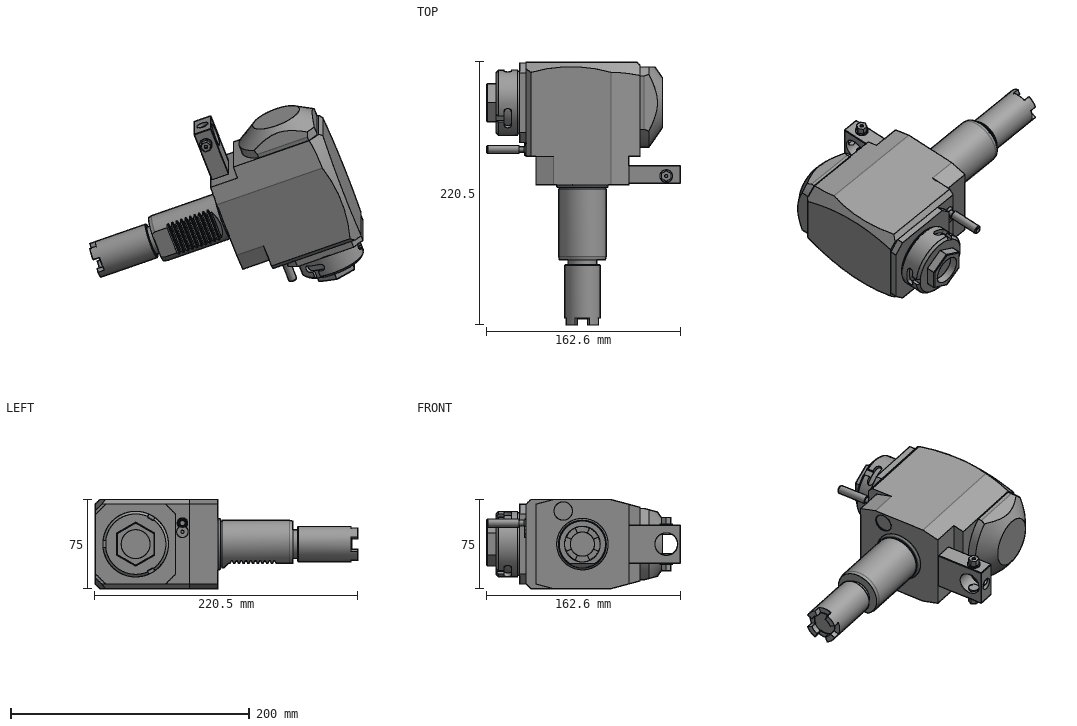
import cadquery as cq
import math


HALF_HEIGHT = 37.5
LEFT_X = -47.2
RIGHT_X = 48.5
BACK_Y = 103.0
STEP_Y = 24.0
BLOCK_HALF_WIDTH = 39.0
TAPER_START_X = 24.0
TAPER_SLOPE = math.tan(math.radians(15))
LEFT_CHAMFER = 4.0
CORNER_CHAMFER = 2.6
CROWN_X = -9.5
CROWN_Y = -22.0
CROWN_RADIUS = 121.3
PLUG_X = -16.0
PLUG_Z = 27.8
PLUG_RADIUS = 7.7
PLUG_DEPTH = 1.0

FLANGE_RADIUS = 21.6
FLANGE_LENGTH = 2.2
FLANGE_ROUND = 1.3
RELIEF_RADIUS = 19.5
RELIEF_END = 3.5
SHANK_RADIUS = 20.0
SHANK_END = 62.9
SHANK_CHAMFER_LENGTH = 2.9
SHANK_CHAMFER_DEPTH = 0.7
NECK_RADIUS = 12.1
DRIVE_START = 66.8
DRIVE_RADIUS = 15.0
DRIVE_CHAMFER = 0.7
CLAW_START = 111.8
SHANK_TIP = 117.5
CLAW_BORE_RADIUS = 10.1
CLAW_BORE_FLOOR = 112.5
CLAW_GAP_HALF_ANGLE = 24.0
CLAW_COUNT = 4

RACK_Z = -16.0
RACK_START = 9.0
TOOTH_PITCH = 4.0
TOOTH_GAP_COUNT = 10
TOOTH_GAP_START = 11.7
TOOTH_GAP_DEPTH = 2.0
TOOTH_GAP_WIDTH = 2.9
TOOTH_GAP_ROOT = 0.9

SPINDLE_Y = 69.0
PLATE_X = -52.7
PLATE_HALF = 33.5
PLATE_CHAMFER = 8.4
COLLAR_X = -54.3
COLLAR_RADIUS = 26.5
NUT_X = -72.5
NUT_RADIUS = 27.5
NUT_CHAMFER = 2.2
NUT_GROOVE_X = -62.6
NUT_GROOVE_WIDTH = 6.0
NUT_GROOVE_LENGTH = 18.7
NUT_GROOVE_FLOOR = 24.3
NUT_NOTCH_WIDTH = 5.7
NUT_NOTCH_FLOOR = 24.7
NUT_NOTCH_ANGLES = (0, 120, 240)
FRONT_X = -80.3
HEX_FLATS = 32.0
HEX_EDGE = 0.7
HEX_BORE_RADIUS = 12.1
HEX_BORE_DEPTH = 6.6

CAP_RADIUS = 37.5
CAP_CONE_X = 55.8
CAP_END_X = 67.3
CAP_END_RADIUS = 21.0
CAP_FLAT_END_X = 51.8
CAP_BACK_Y = 99.0

TUBE_Y = 29.8
TUBE_Z = 17.6
TUBE_RADIUS = 3.5
TUBE_BEVEL = 0.9
TUBE_START_X = -53.2
TUBE_NECK_RADIUS = 2.5
TUBE_BORE_RADIUS = 2.2
TUBE_BORE_DEPTH = 2.2
FLARE_X = -49.0
FLARE_RADIUS = 4.5
SCREW_Z = 10.4
SCREW_RADIUS = 4.9
SCREW_HEIGHT = 1.3
SCREW_SOCKET_RADIUS = 1.3

ARM_END_X = 82.3
ARM_FRONT_Y = 1.0
ARM_BACK_Y = 16.3
ARM_HALF_HEIGHT = 16.0
ARM_EDGE = 0.5
ARM_HOLE_X = 70.4
ARM_HOLE_RADIUS = 9.5
END_HOLE_RADIUS = 4.9
CLAMP_Y = 7.5
CLAMP_TIP_Z = 8.0
CLAMP_SHAFT_RADIUS = 4.5
CLAMP_WASHER_RADIUS = 5.3
CLAMP_WASHER_TOP = 17.0
CLAMP_HEAD_TOP = 22.5
CLAMP_HEAD_FLATS = 7.7
CLAMP_SOCKET_RADIUS = 1.3
CLAMP_SOCKET_DEPTH = 1.8


def hexagon_diameter(across_flats):
    """Corner-to-corner size of a hexagon."""
    return across_flats / math.cos(math.pi / 6)


def rod_x(y, z, radius, x_start, x_end):
    """Cylinder along X."""
    return cq.Workplane("YZ", origin=(x_start, y, z)).circle(radius).extrude(x_end - x_start)


def turned_x(y, z, profile):
    """Turn an outline of (x, radius) points about an axis along X."""
    outline = [(x, y + radius) for x, radius in profile]
    turned = cq.Workplane("XY").polyline(outline).close().revolve(360, (0, y, 0), (1, y, 0))
    return turned.translate((0, 0, z))


def prism_y(outline, y_start, y_end):
    """Extrude an outline of (x, z) points along Y."""
    return cq.Workplane("XZ", origin=(0, y_end, 0)).polyline(outline).close().extrude(y_end - y_start)


def mirrored_outline(upper):
    """Close an upper outline of (x, z) points with its reflection below z = 0."""
    return upper + [(x, -z) for x, z in reversed(upper)]


def taper_z(x):
    """Height of the sloping side face at a distance x from the shank axis."""
    return HALF_HEIGHT - (abs(x) - TAPER_START_X) * TAPER_SLOPE


def make_body():
    main_outline = mirrored_outline([
        (LEFT_X, HALF_HEIGHT - LEFT_CHAMFER),
        (LEFT_X + LEFT_CHAMFER, HALF_HEIGHT),
        (TAPER_START_X, HALF_HEIGHT),
        (RIGHT_X, taper_z(RIGHT_X)),
    ])
    main = prism_y(main_outline, STEP_Y, BACK_Y)
    main = main.edges("|Z and >X and >Y").chamfer(CORNER_CHAMFER)

    crown_outline = [
        (0, HALF_HEIGHT),
        (CROWN_RADIUS, HALF_HEIGHT),
        (CROWN_RADIUS + HALF_HEIGHT, 0),
        (CROWN_RADIUS, -HALF_HEIGHT),
        (0, -HALF_HEIGHT),
    ]
    crown = cq.Workplane("XZ").polyline(crown_outline).close().revolve(360, (0, 0, 0), (0, 1, 0))
    main = main.intersect(crown.translate((CROWN_X, CROWN_Y, 0)))

    block_outline = mirrored_outline([
        (-BLOCK_HALF_WIDTH, taper_z(BLOCK_HALF_WIDTH)),
        (-TAPER_START_X, HALF_HEIGHT),
        (TAPER_START_X, HALF_HEIGHT),
        (BLOCK_HALF_WIDTH, taper_z(BLOCK_HALF_WIDTH)),
    ])
    block = prism_y(block_outline, 0, STEP_Y)
    recess = cq.Workplane("XZ").center(PLUG_X, PLUG_Z).circle(PLUG_RADIUS).extrude(-PLUG_DEPTH)
    return main.union(block).cut(recess)


def make_shank():
    profile = [
        (0, 0),
        (RELIEF_RADIUS, 0),
        (RELIEF_RADIUS, -RELIEF_END),
        (SHANK_RADIUS, -RELIEF_END),
        (SHANK_RADIUS, SHANK_CHAMFER_LENGTH - SHANK_END),
        (SHANK_RADIUS - SHANK_CHAMFER_DEPTH, -SHANK_END),
        (NECK_RADIUS, -SHANK_END),
        (NECK_RADIUS, -DRIVE_START),
        (DRIVE_RADIUS - DRIVE_CHAMFER, -DRIVE_START),
        (DRIVE_RADIUS, -DRIVE_START - DRIVE_CHAMFER),
        (DRIVE_RADIUS, -SHANK_TIP),
        (CLAW_BORE_RADIUS, -SHANK_TIP),
        (CLAW_BORE_RADIUS, -CLAW_BORE_FLOOR),
        (0, -CLAW_BORE_FLOOR),
    ]
    shank = cq.Workplane("XY").polyline(profile).close().revolve(360, (0, 0, 0), (0, 1, 0))
    shank = shank.cut(make_claw_gaps()).cut(make_rack_cut())
    flange = cq.Workplane("XZ").circle(FLANGE_RADIUS).extrude(FLANGE_LENGTH)
    return shank.union(flange.faces("<Y").edges().fillet(FLANGE_ROUND))


def make_claw_gaps():
    """Wedges that divide the end ring of the shank into claws and leave the low center boss standing."""
    reach = 2 * DRIVE_RADIUS
    half_width = reach * math.tan(math.radians(CLAW_GAP_HALF_ANGLE))
    wedge = prism_y([(0, 0), (reach, half_width), (reach, -half_width)], -SHANK_TIP, -CLAW_START)
    gaps = cq.Workplane("XY")
    for index in range(CLAW_COUNT):
        gaps = gaps.union(wedge.rotate((0, 0, 0), (0, 1, 0), index * 360 / CLAW_COUNT))
    center_boss = cq.Workplane("XZ").circle(CLAW_BORE_RADIUS).extrude(CLAW_BORE_FLOOR)
    return gaps.cut(center_boss)


def make_rack_cut():
    """Flat with a 45-degree run-out and a row of tooth gaps, cut across the underside."""
    run_out = SHANK_RADIUS + RACK_Z
    flat_outline = [
        (-SHANK_END, RACK_Z),
        (-RACK_START, RACK_Z),
        (-RACK_START + run_out, -SHANK_RADIUS),
        (-SHANK_END, -SHANK_RADIUS),
    ]
    rack_plane = cq.Workplane("YZ")
    cut = rack_plane.polyline(flat_outline).close().extrude(SHANK_RADIUS, both=True)
    for index in range(TOOTH_GAP_COUNT):
        center = -TOOTH_GAP_START - index * TOOTH_PITCH
        gap_outline = [
            (center - TOOTH_GAP_WIDTH / 2, RACK_Z),
            (center - TOOTH_GAP_ROOT / 2, RACK_Z + TOOTH_GAP_DEPTH),
            (center + TOOTH_GAP_ROOT / 2, RACK_Z + TOOTH_GAP_DEPTH),
            (center + TOOTH_GAP_WIDTH / 2, RACK_Z),
        ]
        cut = cut.union(rack_plane.polyline(gap_outline).close().extrude(SHANK_RADIUS, both=True))
    return cut


def make_plate():
    side = 2 * PLATE_HALF
    plate = cq.Workplane("YZ", origin=(PLATE_X, SPINDLE_Y, 0)).rect(side, side).extrude(LEFT_X - PLATE_X)
    return plate.edges("|X").chamfer(PLATE_CHAMFER)


def make_nut():
    profile = [
        (PLATE_X, 0),
        (PLATE_X, COLLAR_RADIUS),
        (COLLAR_X, COLLAR_RADIUS),
        (COLLAR_X, NUT_RADIUS),
        (NUT_X + NUT_CHAMFER, NUT_RADIUS),
        (NUT_X, NUT_RADIUS - NUT_CHAMFER),
        (NUT_X, 0),
    ]
    nut = turned_x(SPINDLE_Y, 0, profile)

    groove = (
        cq.Workplane("XZ", origin=(NUT_GROOVE_X, SPINDLE_Y, 0))
        .slot2D(NUT_GROOVE_LENGTH, NUT_GROOVE_WIDTH, 90)
        .extrude(-2 * NUT_RADIUS)
        .cut(rod_x(SPINDLE_Y, 0, NUT_GROOVE_FLOOR, NUT_X, COLLAR_X))
    )
    notch_length = NUT_GROOVE_X - NUT_GROOVE_WIDTH / 2 - NUT_X
    notch = (
        cq.Workplane("XY", origin=(NUT_X, SPINDLE_Y + NUT_NOTCH_FLOOR, 0))
        .box(notch_length, NUT_RADIUS, NUT_NOTCH_WIDTH, centered=(False, False, True))
    )
    cutter = groove.union(notch)
    for angle in NUT_NOTCH_ANGLES:
        nut = nut.cut(cutter.rotate((0, SPINDLE_Y, 0), (1, SPINDLE_Y, 0), angle))
    return nut


def make_hexagon():
    hexagon = (
        cq.Workplane("YZ", origin=(FRONT_X, SPINDLE_Y, 0))
        .transformed(rotate=(0, 0, 90))
        .polygon(6, hexagon_diameter(HEX_FLATS))
        .extrude(NUT_X - FRONT_X)
        .faces("<X")
        .chamfer(HEX_EDGE)
    )
    return hexagon.cut(rod_x(SPINDLE_Y, 0, HEX_BORE_RADIUS, FRONT_X, FRONT_X + HEX_BORE_DEPTH))


def make_cap():
    profile = [
        (RIGHT_X, 0),
        (RIGHT_X, CAP_RADIUS),
        (CAP_CONE_X, CAP_RADIUS),
        (CAP_END_X, CAP_END_RADIUS),
        (CAP_END_X, 0),
    ]
    flats = mirrored_outline([
        (RIGHT_X, taper_z(CAP_FLAT_END_X)),
        (CAP_FLAT_END_X, taper_z(CAP_FLAT_END_X)),
        (CAP_END_X, taper_z(CAP_END_X)),
    ])
    return turned_x(SPINDLE_Y, 0, profile).intersect(prism_y(flats, 0, CAP_BACK_Y))


def make_coolant_tube():
    profile = [
        (FRONT_X, 0),
        (FRONT_X, TUBE_RADIUS - TUBE_BEVEL),
        (FRONT_X + TUBE_BEVEL, TUBE_RADIUS),
        (TUBE_START_X, TUBE_RADIUS),
        (TUBE_START_X, TUBE_NECK_RADIUS),
        (FLARE_X, TUBE_NECK_RADIUS),
        (LEFT_X, FLARE_RADIUS),
        (LEFT_X, 0),
    ]
    bore = rod_x(TUBE_Y, TUBE_Z, TUBE_BORE_RADIUS, FRONT_X, FRONT_X + TUBE_BORE_DEPTH)
    return turned_x(TUBE_Y, TUBE_Z, profile).cut(bore)


def make_plug_screw():
    outer_x = LEFT_X - SCREW_HEIGHT
    head = rod_x(TUBE_Y, SCREW_Z, SCREW_RADIUS, outer_x, LEFT_X)
    return head.cut(rod_x(TUBE_Y, SCREW_Z, SCREW_SOCKET_RADIUS, outer_x, LEFT_X))


def make_clamp_screw():
    """Upper clamping screw of the arm, from its tip in the hole to its hexagon head."""
    def at_height(z):
        return cq.Workplane("XY", origin=(ARM_HOLE_X, CLAMP_Y, z))

    shaft = at_height(CLAMP_TIP_Z).circle(CLAMP_SHAFT_RADIUS).extrude(CLAMP_WASHER_TOP - CLAMP_TIP_Z)
    washer_height = CLAMP_WASHER_TOP - ARM_HALF_HEIGHT
    washer = at_height(ARM_HALF_HEIGHT).circle(CLAMP_WASHER_RADIUS).extrude(washer_height)
    head = (
        at_height(CLAMP_WASHER_TOP)
        .transformed(rotate=(0, 0, 90))
        .polygon(6, hexagon_diameter(CLAMP_HEAD_FLATS))
        .extrude(CLAMP_HEAD_TOP - CLAMP_WASHER_TOP)
    )
    socket = at_height(CLAMP_HEAD_TOP).circle(CLAMP_SOCKET_RADIUS).extrude(-CLAMP_SOCKET_DEPTH)
    return shaft.union(washer).union(head).cut(socket)


def make_arm():
    outline = mirrored_outline([
        (BLOCK_HALF_WIDTH, ARM_HALF_HEIGHT),
        (ARM_END_X, ARM_HALF_HEIGHT),
    ])
    arm = prism_y(outline, ARM_FRONT_Y, ARM_BACK_Y).edges("not <X").chamfer(ARM_EDGE)
    hole = cq.Workplane("XZ").center(ARM_HOLE_X, 0).circle(ARM_HOLE_RADIUS).extrude(-ARM_BACK_Y)
    middle_y = (ARM_FRONT_Y + ARM_BACK_Y) / 2
    arm = arm.cut(hole).cut(rod_x(middle_y, 0, END_HOLE_RADIUS, ARM_HOLE_X, ARM_END_X))
    screw = make_clamp_screw()
    return arm.union(screw).union(screw.mirror("XY"))


result = (
    make_body()
    .union(make_shank())
    .union(make_plate())
    .union(make_nut())
    .union(make_hexagon())
    .union(make_cap())
    .union(make_coolant_tube())
    .union(make_plug_screw())
    .union(make_arm())
)